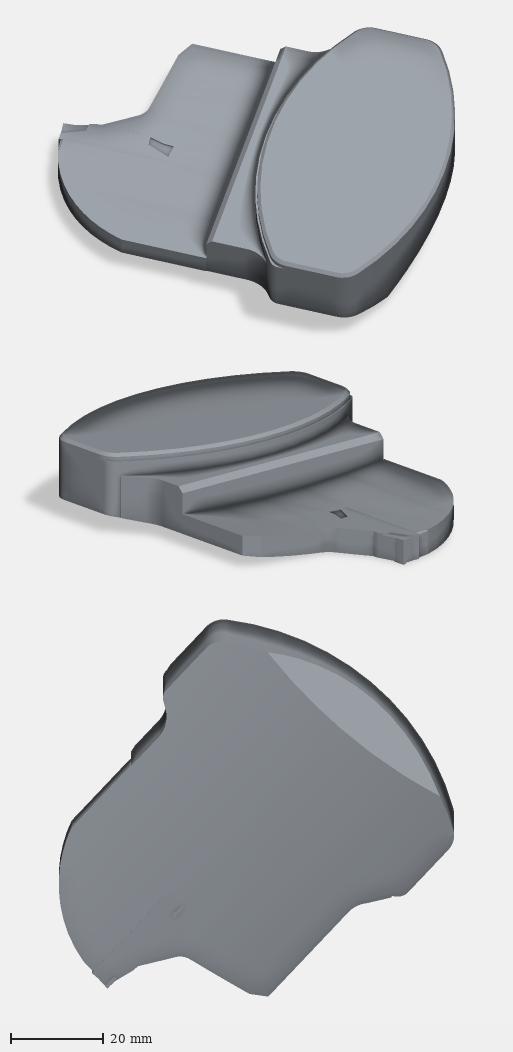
import cadquery as cq

length = 85.9
half_width = 35.05
height = 18.3

underside_height = 0.3
underside_radius = 152.1
end_slope_start = 7.9

plate_center_height = 5.9
plate_top_radius = 274.95
plate_back = 28.1
plate_front = -29.55
tip_x = 0.8
relief_x = 1.1
relief_front = -7.8
relief_width = 0.7
relief_drop = 0.35

step_x = 40.8
step_end_x = 60.15
step_front = -29.4
step_height = 13.4
step_chamfer = 1.3

head_left = 45.7
head_corner_x = 55.4
head_corner_y = 32.3
bow_depth = 11.6
corner_radius = 5.15
left_base_radius = 2.6
cap_bottom = 16.6
cap_inset = 0.4
cap_chamfer = 0.7

insert_length = 24.9
insert_center = insert_length / 2
insert_front = -4.6
insert_kink = -3.0
insert_end_back = 0.2
insert_mid_back = 1.7
insert_end_taper = 0.35
pocket_depth = 0.35
tip_pad_length = 3.1
tip_pad_width = 0.9


def lens(left, left_radius, depth):
    """Prism with two bowed sides, flat ends and rounded corners."""
    corner_left = left + bow_depth
    corner_right = length - bow_depth
    blank = (
        cq.Workplane("XY")
        .moveTo(corner_left, -half_width)
        .threePointArc((left, 0), (corner_left, half_width))
        .lineTo(corner_right, half_width)
        .threePointArc((length, 0), (corner_right, -half_width))
        .close()
        .extrude(depth)
    )
    blank = blank.faces("<Y or >Y").edges("|Z and <X").fillet(left_radius)
    return blank.faces("<Y or >Y").edges("|Z and >X").fillet(corner_radius)


def trough_above(bottom_height, radius):
    """Solid cylinder along X whose lowest line lies at the given height."""
    return (
        cq.Workplane("YZ")
        .center(0, bottom_height + radius)
        .circle(radius)
        .extrude(2 * length, both=True)
    )


def tip_relief():
    """Bevel along the short straight edge beside the insert."""
    inner_x = tip_x + relief_width
    return (
        cq.Workplane("XZ", origin=(0, insert_front, 0))
        .polyline([
            (0, plate_center_height - relief_drop),
            (tip_x, plate_center_height - relief_drop),
            (inner_x, plate_center_height),
            (inner_x, height),
            (0, height),
        ])
        .close()
        .extrude(insert_front - relief_front)
    )


def make_plate():
    outline = (
        cq.Workplane("XY")
        .moveTo(tip_x, insert_front)
        .lineTo(relief_x, relief_front)
        .threePointArc((6.6, -19.2), (21.8, plate_front))
        .lineTo(step_x, plate_front)
        .lineTo(step_x, plate_back)
        .lineTo(21.0, plate_back)
        .lineTo(18.9, 24.5)
        .lineTo(16.75, 8.9)
        .threePointArc((16.15, 7.5), (14.9, 6.3))
        .lineTo(8.2, insert_mid_back)
        .lineTo(8.2, insert_front)
        .close()
    )
    blank = outline.extrude(height / 2)
    plate = blank.cut(trough_above(plate_center_height, plate_top_radius))
    return plate.cut(tip_relief())


def make_step():
    profile = (
        cq.Workplane("XY")
        .moveTo(step_x, step_front)
        .lineTo(50.3, step_front)
        .threePointArc((53.3, -30.3), (head_corner_x, -head_corner_y))
        .lineTo(step_end_x, -head_corner_y)
        .lineTo(step_end_x, head_corner_y)
        .lineTo(head_corner_x, 33.0)
        .lineTo(51.2, 29.8)
        .threePointArc((49.5, 28.6), (47.25, plate_back))
        .lineTo(step_x, plate_back)
        .close()
    )
    block = profile.extrude(step_height)
    return block.faces("<X").edges(">Z").chamfer(step_chamfer)


def make_head():
    base = lens(head_left, left_base_radius, cap_bottom)
    cap = lens(head_left + cap_inset, corner_radius, height - cap_bottom)
    cap = cap.faces(">Z").edges().chamfer(cap_chamfer)
    return base.union(cap.translate((0, 0, cap_bottom)))


def end_slope():
    """Wedge removed below the far end, at 45 degrees."""
    depth = 2 * end_slope_start
    return (
        cq.Workplane("XZ")
        .polyline([
            (length + depth, end_slope_start + depth),
            (length - depth, end_slope_start - depth),
            (length + depth, end_slope_start - depth),
        ])
        .close()
        .extrude(length, both=True)
    )


def insert_prism(depth):
    right = insert_length
    return (
        cq.Workplane("XY")
        .polyline([
            (insert_end_taper, insert_front),
            (insert_end_taper, insert_kink),
            (0, insert_end_back),
            (2.4, 0.35),
            (6.9, 1.6),
            (8.2, insert_mid_back),
            (right - 8.2, insert_mid_back),
            (right - 6.9, 1.6),
            (right - 2.4, 0.35),
            (right, insert_end_back),
            (right - insert_end_taper, insert_kink),
            (right - insert_end_taper, insert_front),
        ])
        .close()
        .extrude(depth)
    )


def mirror_end(shape):
    """Copy a feature of one insert end onto the other end."""
    return shape.mirror("YZ", (insert_center, 0, 0))


def make_insert():
    body = insert_prism(plate_center_height)
    tip_pad = cq.Workplane("XY").box(
        tip_pad_length, tip_pad_width, underside_height, centered=False
    ).translate((0, insert_end_back - tip_pad_width, 0))
    underside = cq.Workplane("XY").box(
        insert_length, insert_mid_back - insert_front, underside_height, centered=False
    ).translate((0, insert_front, 0))
    underside = underside.cut(tip_pad).cut(mirror_end(tip_pad))
    pocket = (
        cq.Workplane("XY")
        .workplane(offset=plate_center_height - pocket_depth)
        .polyline([
            (0, insert_kink),
            (insert_end_taper, insert_kink),
            (5.4, -0.8),
            (5.6, insert_mid_back),
            (0, insert_mid_back),
        ])
        .close()
        .extrude(pocket_depth)
    )
    return body.cut(underside).cut(pocket).cut(mirror_end(pocket))


def make_holder():
    body = make_plate().union(make_step()).union(make_head())
    body = body.intersect(trough_above(underside_height, underside_radius))
    return body.cut(end_slope()).cut(insert_prism(step_height))


holder = make_holder()
insert = make_insert()
result = cq.Compound.makeCompound([holder.solids().val(), insert.solids().val()])